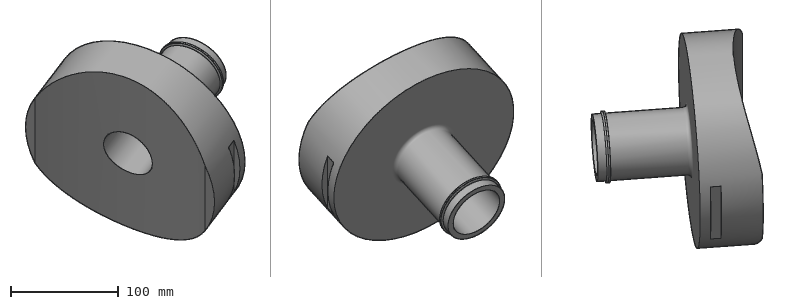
import cadquery as cq
import math

overall_length = 147.0

disc_diameter = 200.0
web_thickness = 42.0

saddle_radius = 250.0
saddle_width = 180.0
saddle_depth = saddle_radius - math.sqrt(saddle_radius**2 - (saddle_width / 2) ** 2)
saddle_axis_y = -web_thickness - saddle_radius
disc_thickness = web_thickness + saddle_depth

slot_length = 70.0
slot_width = 10.0
slot_setback = 10.0
slot_floor_x = math.sqrt((disc_diameter / 2) ** 2 - (slot_length / 2) ** 2)

spigot_diameter = 63.0
spigot_length = overall_length - disc_thickness
bore_diameter = 51.5
root_fillet = 4.0

bead_diameter = 67.0
bead_width = 1.8
bead_end_distance = 10.0


def cylinder_along_y(diameter, y_start, y_end):
    plane = cq.Workplane("XZ", origin=(0, y_end, 0))
    return plane.circle(diameter / 2).extrude(y_end - y_start)


def make_disc():
    disc = cylinder_along_y(disc_diameter, -disc_thickness, 0)
    saddle = (
        cq.Workplane("XY")
        .center(0, saddle_axis_y)
        .circle(saddle_radius)
        .extrude(disc_diameter / 2, both=True)
    )
    return disc.cut(saddle)


def make_slots():
    slot_depth = disc_diameter / 2 - slot_floor_x
    slot_y = -slot_setback - slot_width / 2
    slot = cq.Workplane("XY").box(slot_depth, slot_width, slot_length)
    slot_x = slot_floor_x + slot_depth / 2
    left = slot.translate((-slot_x, slot_y, 0))
    right = slot.translate((slot_x, slot_y, 0))
    return left.union(right)


def make_spigot():
    """Revolve the spigot with its concave root fillet about the Y axis."""
    radius = spigot_diameter / 2
    return (
        cq.Workplane("XY")
        .moveTo(0, -root_fillet)
        .lineTo(radius + root_fillet, -root_fillet)
        .lineTo(radius + root_fillet, 0)
        .radiusArc((radius, root_fillet), root_fillet)
        .lineTo(radius, spigot_length)
        .lineTo(0, spigot_length)
        .close()
        .revolve(360, (0, 0), (0, 1))
    )


def make_bead(y_center):
    """Revolve one bead, its crown made of two quarter rounds, about the Y axis."""
    crown = bead_width / 2
    shoulder = bead_diameter / 2 - crown
    inner = (bore_diameter + spigot_diameter) / 4
    return (
        cq.Workplane("XY")
        .moveTo(inner, y_center - crown)
        .lineTo(shoulder, y_center - crown)
        .radiusArc((bead_diameter / 2, y_center), -crown)
        .radiusArc((shoulder, y_center + crown), -crown)
        .lineTo(inner, y_center + crown)
        .close()
        .revolve(360, (0, 0), (0, 1))
    )


result = make_disc().cut(make_slots()).union(make_spigot())
for side in (-1, 1):
    bead_y = spigot_length - bead_end_distance + side * bead_width / 2
    result = result.union(make_bead(bead_y))
result = result.cut(cylinder_along_y(bore_diameter, -disc_thickness, spigot_length))